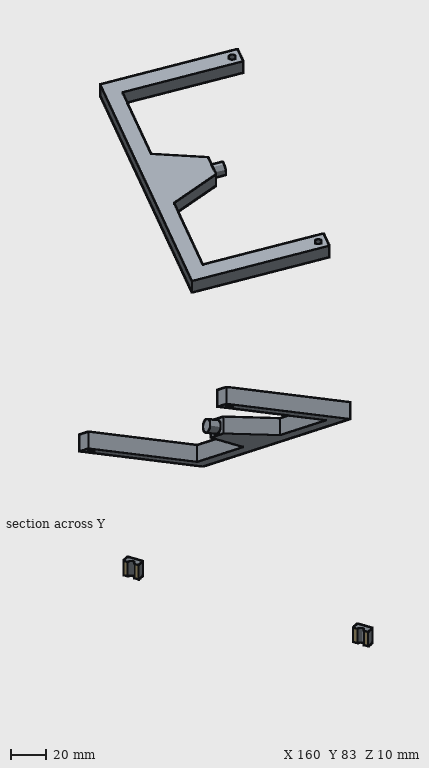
import cadquery as cq

frame_length = 160.0
frame_depth = 83.0
bar_width = 10.0
thickness = 10.0

boss_base_width = 40.0
boss_tip_width = 14.0
boss_tip_y = 40.0

pin_diameter = 8.0
pin_length = 7.0

left_hole_diameter = 4.0
right_hole_diameter = 3.8

half_length = frame_length / 2
hole_x = half_length - bar_width / 2
hole_y = frame_depth - bar_width / 2


def make_frame():
    """U-shaped frame with the tapered boss between its arms."""
    inner_x = half_length - bar_width
    return (
        cq.Workplane("XY")
        .moveTo(-half_length, 0)
        .lineTo(half_length, 0)
        .lineTo(half_length, frame_depth)
        .lineTo(inner_x, frame_depth)
        .lineTo(inner_x, bar_width)
        .lineTo(boss_base_width / 2, bar_width)
        .lineTo(boss_tip_width / 2, boss_tip_y)
        .lineTo(-boss_tip_width / 2, boss_tip_y)
        .lineTo(-boss_base_width / 2, bar_width)
        .lineTo(-inner_x, bar_width)
        .lineTo(-inner_x, frame_depth)
        .lineTo(-half_length, frame_depth)
        .close()
        .extrude(thickness)
    )


def make_pin():
    """Pin along +Y, rooted at mid-thickness on the boss tip."""
    tip_plane = cq.Plane(
        origin=(0, boss_tip_y, thickness / 2), xDir=(1, 0, 0), normal=(0, 1, 0)
    )
    return cq.Workplane(tip_plane).circle(pin_diameter / 2).extrude(pin_length)


def make_arm_hole(x, diameter):
    """Cutter for a through hole centred across an arm."""
    return cq.Workplane("XY").center(x, hole_y).circle(diameter / 2).extrude(thickness)


result = make_frame().union(make_pin())
for x, diameter in ((-hole_x, left_hole_diameter), (hole_x, right_hole_diameter)):
    result = result.cut(make_arm_hole(x, diameter))